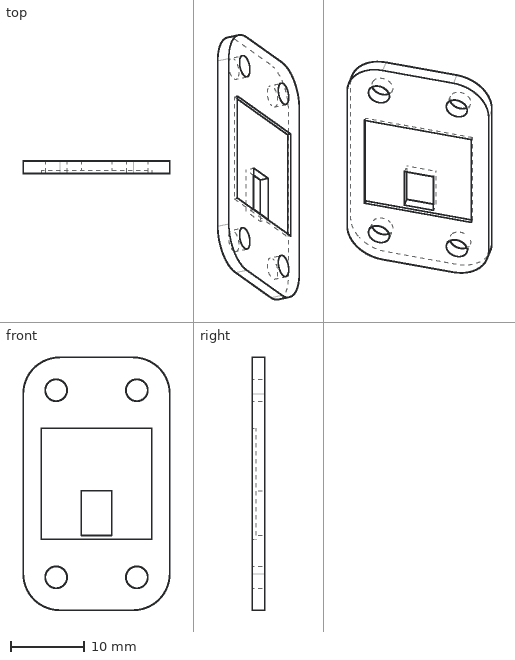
import cadquery as cq

plate_width = 20.0
plate_height = 34.5
plate_thickness = 1.75
corner_radius = 5.0

hole_diameter = 2.95
hole_spacing_x = 11.0
hole_spacing_z = 25.5

pocket_side = 15.1
pocket_depth = 0.5

window_width = 4.1
window_height = 6.1
window_center_z = -4.0


def front_plane():
    """Sketch plane on the front face: local x is +X, local y is +Z."""
    return cq.Workplane("XZ", origin=(0, -plate_thickness / 2, 0))


def make_plate():
    """Flat plate with rounded corners, centred on the origin."""
    plate = cq.Workplane("XY").box(plate_width, plate_thickness, plate_height)
    return plate.edges("|Y").fillet(corner_radius)


def make_corner_holes():
    """Cutters for the four through holes."""
    return (
        front_plane()
        .rect(hole_spacing_x, hole_spacing_z, forConstruction=True)
        .vertices()
        .circle(hole_diameter / 2)
        .extrude(-plate_thickness)
    )


def make_pocket():
    """Cutter for the blind square pocket."""
    return front_plane().rect(pocket_side, pocket_side).extrude(-pocket_depth)


def make_window():
    """Cutter for the rectangular window through the plate."""
    return (
        front_plane()
        .center(0, window_center_z)
        .rect(window_width, window_height)
        .extrude(-plate_thickness)
    )


result = make_plate().cut(make_corner_holes()).cut(make_pocket()).cut(make_window())